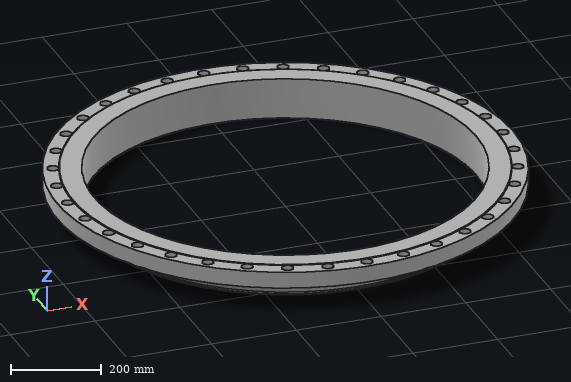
import cadquery as cq

outer_radius = 537.0
bore_radius = 450.0
total_height = 97.0

flange_thickness = 39.0
face_radius = 500.0
face_raise = 1.0
face_edge_slope = 1.0

hub_top_radius = 481.0
hub_fillet_radius = 6.0
hub_end_radius = 458.0
weld_end_height = 10.0
bevel_height = 5.0
weld_lip = 2.0

bolt_count = 36
bolt_circle_radius = 513.0
bolt_hole_diameter = 26.0


def ring_body():
    """Revolve the half section (radius, height) about the Z axis."""
    rim_height = total_height - face_raise
    flange_bottom = rim_height - flange_thickness
    section = [
        (bore_radius, 0),
        (bore_radius + weld_lip, 0),
        (hub_end_radius, bevel_height),
        (hub_end_radius, weld_end_height),
        (hub_top_radius, flange_bottom),
        (outer_radius, flange_bottom),
        (outer_radius, rim_height),
        (face_radius, rim_height),
        (face_radius - face_edge_slope, total_height),
        (bore_radius, total_height),
    ]
    profile = cq.Workplane("XZ").polyline(section).close()
    ring = profile.revolve(360, (0, 0, 0), (0, 1, 0))
    hub_corner = cq.selectors.BoxSelector(
        (-outer_radius, -outer_radius, flange_bottom - face_raise),
        (outer_radius, outer_radius, flange_bottom + face_raise),
    )
    return ring.edges(hub_corner).edges(cq.selectors.RadiusNthSelector(0)).fillet(hub_fillet_radius)


def bolt_holes():
    """Cylinders that cut every bolt hole through the flange."""
    return (
        cq.Workplane("XY")
        .polarArray(bolt_circle_radius, 0, 360, bolt_count)
        .circle(bolt_hole_diameter / 2)
        .extrude(total_height)
    )


result = ring_body().cut(bolt_holes())